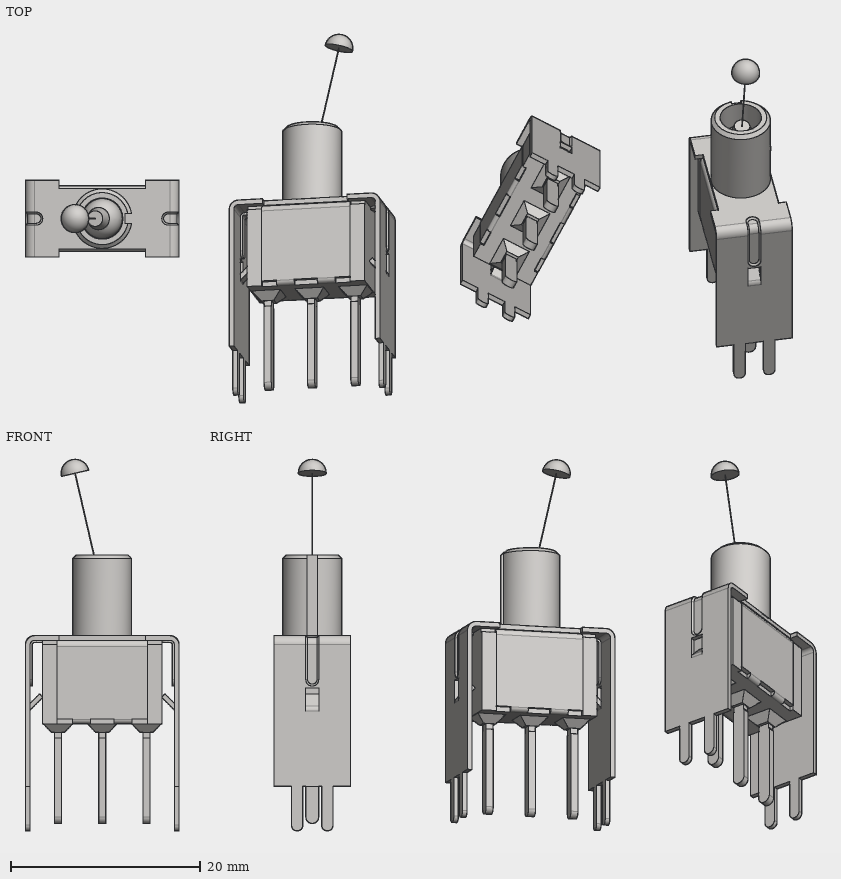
import cadquery as cq
import math

TOTAL_HEIGHT = 39.27

BRACKET_LENGTH = 16.25
BRACKET_WIDTH = 8.13
BRACKET_TOP = 20.65
SHEET = 0.5
BEND_RADIUS = 1.0
NOTCH_LENGTH = 9.1
NOTCH_DEPTH = 0.85
SHOULDER_Z = 4.7
TERMINAL_WIDTH = 1.2
TERMINAL_PITCH = 3.2

BEAD_WIDTH = 1.37
BEAD_DEPTH = 0.25
BEAD_FLANK = 0.2
BEAD_BOTTOM = 15.3
BEAD_INNER_END = 6.3

WINDOW_BOTTOM = 12.7
WINDOW_TOP = 15.1
TAB_WIDTH = 1.37
TAB_ANGLE = 45.0
TAB_BEND_RADIUS = 0.7
TAB_LENGTH = 1.85

BODY_BOTTOM = 11.3
BODY_LENGTH = 12.65
CORE_WIDTH = 6.0
COLUMN_WIDTH = 6.85
COLUMN_TOP = 19.7
COVER_LENGTH = 9.55
COVER_WIDTH = 7.0
COVER_BOTTOM = 11.82
COVER_EDGE_RADIUS = 0.65
FOLD_LENGTH = 1.92
FOLD_CENTER_X = 2.2
FOLD_RADIUS = 0.47

PIN_PITCH = 4.67
PIN_THICKNESS = 0.8
PIN_WIDTH = 1.37
PIN_BOTTOM = 0.8
PIN_SHOULDER_Z = 9.8
PIN_NECK_INSET = 0.08
SEAL_BASE = 3.1
SEAL_TIP = 1.37
SEAL_HEIGHT = 0.9

BUSHING_TOP = 29.18
BUSHING_DIAMETER = 6.3
BUSHING_CHAMFER = 0.4
BORE_DIAMETER = 4.35
KEYWAY_WIDTH = 1.05
KEYWAY_FLOOR = 2.4

LEVER_TILT = 13.0
LEVER_LENGTH = 12.75
KNOB_RADIUS = 1.5
BALL_DIAMETER = 4.25
STUB_BASE_DIAMETER = 2.35
STUB_TIP_DIAMETER = 1.65
STUB_LENGTH = 3.35
STEM_DIAMETER = 0.08

BRACKET_UNDERSIDE = BRACKET_TOP - SHEET
OUTER_X = BRACKET_LENGTH / 2
INNER_X = OUTER_X - SHEET
BEND_X = -OUTER_X + BEND_RADIUS
BEND_Z = BRACKET_TOP - BEND_RADIUS
PIVOT_Z = TOTAL_HEIGHT - KNOB_RADIUS - LEVER_LENGTH * math.cos(math.radians(LEVER_TILT))


def block(length, width, bottom, top, x=0.0, y=0.0):
    """Box centered on (x, y) that spans bottom to top in Z."""
    height = top - bottom
    return cq.Workplane("XY").box(length, width, height, (True, True, False)).translate((x, y, bottom))


def on_both_ends(shape):
    """The shape together with its mirror image across the YZ plane."""
    return shape.union(shape.mirror("YZ"))


def bent_strip(outer_offset, inner_offset, width, bottom, inner_end):
    """Strip following the -X bend, between two offsets measured inward from the bracket surface."""
    outer_x = -OUTER_X + outer_offset
    inner_x = -OUTER_X + inner_offset
    outer_z = BRACKET_TOP - outer_offset
    inner_z = BRACKET_TOP - inner_offset
    outer_mid = (BEND_RADIUS - outer_offset) * math.sqrt(0.5)
    inner_mid = (BEND_RADIUS - inner_offset) * math.sqrt(0.5)
    return (
        cq.Workplane("XZ")
        .moveTo(outer_x, bottom)
        .lineTo(outer_x, BEND_Z)
        .threePointArc((BEND_X - outer_mid, BEND_Z + outer_mid), (BEND_X, outer_z))
        .lineTo(inner_end, outer_z)
        .lineTo(inner_end, inner_z)
        .lineTo(BEND_X, inner_z)
        .threePointArc((BEND_X - inner_mid, BEND_Z + inner_mid), (inner_x, BEND_Z))
        .lineTo(inner_x, bottom)
        .close()
        .extrude(width / 2, both=True)
    )


def round_ended_pin(thickness, width, bottom, top, x, y=0.0):
    """Flat pin whose lower end is a full round across its width."""
    radius = width / 2
    return (
        cq.Workplane("YZ")
        .moveTo(y - radius, top)
        .lineTo(y - radius, bottom + radius)
        .threePointArc((y, bottom), (y + radius, bottom + radius))
        .lineTo(y + radius, top)
        .close()
        .extrude(thickness / 2, both=True)
        .translate((x, 0, 0))
    )


def bead_strip(outer_offset, inner_offset):
    """Bead volume across the -X bend with both of its ends rounded."""
    radius = BEAD_WIDTH / 2
    inner_end = -BEAD_INNER_END
    strip = bent_strip(outer_offset, inner_offset, BEAD_WIDTH, BEAD_BOTTOM, inner_end)
    leg_limit = round_ended_pin(2 * BEND_RADIUS, BEAD_WIDTH, BEAD_BOTTOM, BRACKET_TOP, -OUTER_X)
    plate_limit = (
        cq.Workplane("XY", origin=(0, 0, BEND_Z))
        .moveTo(BEND_X, -radius)
        .lineTo(inner_end - radius, -radius)
        .threePointArc((inner_end, 0), (inner_end - radius, radius))
        .lineTo(BEND_X, radius)
        .close()
        .extrude(BEND_RADIUS)
    )
    return strip.intersect(leg_limit.union(plate_limit))


def bead_groove():
    """Groove volume on the outer face of the -X bend, with flanks that slope down to its floor."""
    floor_edge = cq.selectors.NearestToPointSelector(
        (-OUTER_X + BEAD_DEPTH, BEAD_WIDTH / 2, (BEAD_BOTTOM + BRACKET_TOP) / 2)
    )
    return bead_strip(0, BEAD_DEPTH).edges(floor_edge).chamfer(BEAD_FLANK)


def latch_tab():
    """Tab on the -X leg: a bend followed by a straight stretch that leans inward."""
    angle = math.radians(TAB_ANGLE)
    center_x = -OUTER_X + TAB_BEND_RADIUS

    def bend_point(radius, turn):
        return (center_x - radius * math.cos(turn), WINDOW_BOTTOM + radius * math.sin(turn))

    def along(point):
        return (point[0] + TAB_LENGTH * math.sin(angle), point[1] + TAB_LENGTH * math.cos(angle))

    outer = TAB_BEND_RADIUS
    inner = TAB_BEND_RADIUS - SHEET
    return (
        cq.Workplane("XZ")
        .moveTo(*bend_point(outer, 0))
        .threePointArc(bend_point(outer, angle / 2), bend_point(outer, angle))
        .lineTo(*along(bend_point(outer, angle)))
        .lineTo(*along(bend_point(inner, angle)))
        .lineTo(*bend_point(inner, angle))
        .threePointArc(bend_point(inner, angle / 2), bend_point(inner, 0))
        .close()
        .extrude(TAB_WIDTH / 2, both=True)
    )


def bracket_half():
    """The -X half of the bracket: plate, leg, bead, latch and terminals."""
    half = bent_strip(0, SHEET, BRACKET_WIDTH, SHOULDER_Z, 0)
    for side in (-1, 1):
        notch_y = side * (BRACKET_WIDTH - NOTCH_DEPTH) / 2
        half = half.cut(block(NOTCH_LENGTH, NOTCH_DEPTH, BRACKET_UNDERSIDE, BRACKET_TOP, y=notch_y))
    half = half.union(bead_strip(BEAD_DEPTH, SHEET + BEAD_DEPTH)).cut(bead_groove())
    leg_x = -(OUTER_X + INNER_X) / 2
    half = half.cut(block(SHEET, TAB_WIDTH, WINDOW_BOTTOM, WINDOW_TOP, x=leg_x)).union(latch_tab())
    for side in (-1, 1):
        terminal_y = side * TERMINAL_PITCH / 2
        half = half.union(round_ended_pin(SHEET, TERMINAL_WIDTH, 0, SHOULDER_Z, leg_x, terminal_y))
    return half


def body():
    """Core with end columns, wrapped by a cover folded under the core."""
    shape = block(BODY_LENGTH, CORE_WIDTH, BODY_BOTTOM, BRACKET_UNDERSIDE)
    column_length = (BODY_LENGTH - COVER_LENGTH) / 2
    column_x = (BODY_LENGTH - column_length) / 2
    for side in (-1, 1):
        shape = shape.union(block(column_length, COLUMN_WIDTH, BODY_BOTTOM, COLUMN_TOP, x=side * column_x))
    cover = block(COVER_LENGTH, COVER_WIDTH, COVER_BOTTOM, BRACKET_UNDERSIDE)
    shape = shape.union(cover.edges("|X and >Z").fillet(COVER_EDGE_RADIUS))
    for side in (-1, 1):
        fold_top = BRACKET_UNDERSIDE - COVER_EDGE_RADIUS
        fold = block(FOLD_LENGTH, COVER_WIDTH, BODY_BOTTOM, fold_top, x=side * FOLD_CENTER_X)
        shape = shape.union(fold.edges("|X and <Z").fillet(FOLD_RADIUS))
    return shape


def contact(x):
    """Pin with a narrower neck and the sealing pyramid at its root."""
    seal = (
        cq.Workplane("XY", origin=(x, 0, BODY_BOTTOM))
        .rect(SEAL_BASE, SEAL_BASE)
        .workplane(offset=-SEAL_HEIGHT)
        .rect(SEAL_TIP, SEAL_TIP)
        .loft(ruled=True)
    )
    pin = round_ended_pin(PIN_THICKNESS, PIN_WIDTH, PIN_BOTTOM, PIN_SHOULDER_Z, x)
    neck_width = PIN_WIDTH - 2 * PIN_NECK_INSET
    neck = block(PIN_THICKNESS, neck_width, PIN_SHOULDER_Z, BODY_BOTTOM, x=x)
    return seal.union(pin).union(neck)


def bushing():
    """Chamfered sleeve with a keyway on its +X side and a bore down to the lever pivot."""
    sleeve = (
        cq.Workplane("XY", origin=(0, 0, BRACKET_UNDERSIDE))
        .circle(BUSHING_DIAMETER / 2)
        .extrude(BUSHING_TOP - BRACKET_UNDERSIDE)
        .faces(">Z")
        .chamfer(BUSHING_CHAMFER)
    )
    bore = (
        cq.Workplane("XY", origin=(0, 0, PIVOT_Z))
        .circle(BORE_DIAMETER / 2)
        .extrude(BUSHING_TOP - PIVOT_Z)
    )
    keyway_depth = BUSHING_DIAMETER / 2 - KEYWAY_FLOOR
    keyway = block(keyway_depth, KEYWAY_WIDTH, BRACKET_TOP, BUSHING_TOP, x=KEYWAY_FLOOR + keyway_depth / 2)
    return sleeve.cut(bore).cut(keyway)


def lever():
    """Pivot ball, tapered stub, slender stem and half-round knob, tilted about the pivot."""
    ball = cq.Workplane("XY").sphere(BALL_DIAMETER / 2)
    stub_root = math.sqrt(BALL_DIAMETER ** 2 - STUB_BASE_DIAMETER ** 2) / 2
    rod = (
        cq.Workplane("XZ")
        .lineTo(STUB_BASE_DIAMETER / 2, 0)
        .lineTo(STUB_BASE_DIAMETER / 2, stub_root)
        .lineTo(STUB_TIP_DIAMETER / 2, STUB_LENGTH)
        .lineTo(STEM_DIAMETER / 2, STUB_LENGTH)
        .lineTo(STEM_DIAMETER / 2, LEVER_LENGTH)
        .lineTo(KNOB_RADIUS, LEVER_LENGTH)
        .radiusArc((0, LEVER_LENGTH + KNOB_RADIUS), -KNOB_RADIUS)
        .close()
        .revolve(360, (0, 0), (0, 1))
    )
    tilted = ball.union(rod).rotate((0, 0, 0), (0, 1, 0), -LEVER_TILT)
    return tilted.translate((0, 0, PIVOT_Z))


result = on_both_ends(bracket_half()).union(body()).union(bushing()).union(lever())
for pin_x in (-PIN_PITCH, 0, PIN_PITCH):
    result = result.union(contact(pin_x))